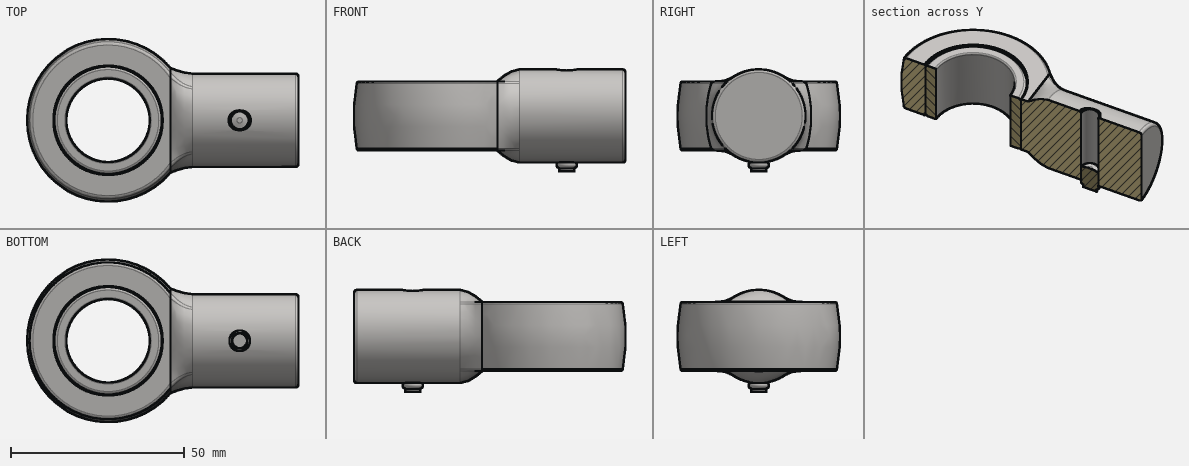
import cadquery as cq
import math

eye_half_height = 9.995
eye_radius = 23.48
eye_face_radius = 21.7
eye_rounding = 0.95
eye_rounding_sweep = math.radians(72)
eye_rim_radius = eye_face_radius + eye_rounding * math.sin(eye_rounding_sweep)
eye_rim_z = eye_half_height - eye_rounding * (1 - math.cos(eye_rounding_sweep))
eye_corner_radius = eye_face_radius + eye_rounding * math.sin(eye_rounding_sweep / 2)
eye_corner_z = eye_half_height - eye_rounding * (1 - math.cos(eye_rounding_sweep / 2))
seat_chamfer = 0.3

bush_radius = 31.0 / 2
bush_bore_radius = 24.0 / 2
bush_outer_rounding = 0.9
bush_bore_rounding = 0.5

shank_radius = 27.0 / 2
shank_end_x = 78.4 - eye_radius
shank_end_rounding = 0.95
neck_start_x = 17.95
neck_end_x = 24.4
neck_sections = 4
neck_blend_power = 1.7
neck_start_rise = 0.04

nipple_x = 37.95
cross_hole_radius = 5.5 / 2
cross_hole_chamfer = 0.5
nose_radius = 5.2 / 2
nose_tip_radius = 0.8
nose_base_z = -8.0
nose_height = 0.4
nose_bevel = cross_hole_radius - nose_radius
head_radius = 3.0
head_crest_z = -shank_radius - 0.7
head_lower_radius = 2.4
head_lower_z = -shank_radius - 1.5
waist_radius = 2.1
waist_z = -shank_radius - 1.65
nipple_bottom_z = -shank_radius - 2.5
tip_radius = 4.5 / 2
tip_height = 0.2


def half_chord(radius, distance):
    """Half the chord of a circle at a distance from its centre."""
    return math.sqrt(radius**2 - distance**2)


def make_eye_blank():
    """Solid crowned disc with rounded edges, ending at the plane where the neck starts."""
    disc = (
        cq.Workplane("XZ")
        .moveTo(0, eye_half_height)
        .lineTo(eye_face_radius, eye_half_height)
        .threePointArc((eye_corner_radius, eye_corner_z), (eye_rim_radius, eye_rim_z))
        .threePointArc((eye_radius, 0), (eye_rim_radius, -eye_rim_z))
        .threePointArc((eye_corner_radius, -eye_corner_z), (eye_face_radius, -eye_half_height))
        .lineTo(0, -eye_half_height)
        .close()
        .revolve(360, (0, 0, 0), (0, 1, 0))
    )
    kept_length = eye_radius + neck_start_x
    kept_side = cq.Workplane("XY").box(kept_length, 2 * eye_radius, 2 * eye_half_height)
    return disc.intersect(kept_side.translate((neck_start_x - kept_length / 2, 0, 0)))


def blend(start, end, t):
    """Value that runs from start (t = 0) to end (t = 1), flattening towards the end."""
    return end + (start - end) * (1 - t) ** neck_blend_power


def neck_outline(t):
    """Closed neck section: side arcs, short rounded corners, and arcs above and below."""
    side_y = blend(half_chord(eye_radius, neck_start_x), shank_radius, t)
    rim_y = blend(half_chord(eye_rim_radius, neck_start_x), half_chord(shank_radius, eye_rim_z), t)
    corner_y = blend(half_chord(eye_corner_radius, neck_start_x), half_chord(shank_radius, eye_corner_z), t)
    face_y = blend(half_chord(eye_face_radius, neck_start_x), half_chord(shank_radius, eye_half_height), t)
    crest_z = blend(eye_half_height + neck_start_rise, shank_radius, t)
    x = neck_start_x + t * (neck_end_x - neck_start_x)
    outline = (
        cq.Workplane("YZ", origin=(x, 0, 0))
        .moveTo(rim_y, -eye_rim_z)
        .threePointArc((side_y, 0), (rim_y, eye_rim_z))
        .threePointArc((corner_y, eye_corner_z), (face_y, eye_half_height))
        .threePointArc((0, crest_z), (-face_y, eye_half_height))
        .threePointArc((-corner_y, eye_corner_z), (-rim_y, eye_rim_z))
        .threePointArc((-side_y, 0), (-rim_y, -eye_rim_z))
        .threePointArc((-corner_y, -eye_corner_z), (-face_y, -eye_half_height))
        .threePointArc((0, -crest_z), (face_y, -eye_half_height))
        .threePointArc((corner_y, -eye_corner_z), (rim_y, -eye_rim_z))
        .close()
    )
    return outline.val()


def make_neck():
    """Blend from the slice of the eye to the round shank."""
    outlines = [neck_outline(i / (neck_sections - 1)) for i in range(neck_sections)]
    return cq.Workplane(cq.Solid.makeLoft(outlines))


def make_shank():
    """Round shank with a rounded free end."""
    return (
        cq.Workplane("YZ", origin=(neck_end_x, 0, 0))
        .circle(shank_radius)
        .extrude(shank_end_x - neck_end_x)
        .faces(">X")
        .edges()
        .fillet(shank_end_rounding)
    )


def make_seat():
    """Cutter for the bush seat, chamfered at both faces of the eye."""
    mouth_radius = bush_radius + seat_chamfer
    chamfer_z = eye_half_height - seat_chamfer
    return (
        cq.Workplane("XZ")
        .moveTo(0, -eye_half_height)
        .lineTo(mouth_radius, -eye_half_height)
        .lineTo(bush_radius, -chamfer_z)
        .lineTo(bush_radius, chamfer_z)
        .lineTo(mouth_radius, eye_half_height)
        .lineTo(0, eye_half_height)
        .close()
        .revolve(360, (0, 0, 0), (0, 1, 0))
    )


def make_cross_hole():
    """Cutter for the vertical hole through the shank, countersunk at the top."""
    mouth_radius = cross_hole_radius + cross_hole_chamfer
    return (
        cq.Workplane("XZ", origin=(nipple_x, 0, 0))
        .moveTo(0, -shank_radius)
        .lineTo(cross_hole_radius, -shank_radius)
        .lineTo(cross_hole_radius, shank_radius - cross_hole_chamfer)
        .lineTo(mouth_radius, shank_radius)
        .lineTo(0, shank_radius)
        .close()
        .revolve(360, (0, 0, 0), (0, 1, 0))
    )


def make_housing():
    """Rod-end body: eye, neck and shank, with the bush seat and the cross hole."""
    body = make_eye_blank().union(make_neck()).union(make_shank())
    return body.cut(make_seat()).cut(make_cross_hole())


def make_bush():
    """Plain sleeve filling the seat, with rounded rims inside and out."""
    sleeve = (
        cq.Workplane("XY", origin=(0, 0, -eye_half_height))
        .circle(bush_radius)
        .circle(bush_bore_radius)
        .extrude(2 * eye_half_height)
    )
    inner_rims = sleeve.faces("|Z").edges(cq.selectors.RadiusNthSelector(0))
    sleeve = inner_rims.fillet(bush_bore_rounding)
    outer_rims = sleeve.faces("|Z").edges(cq.selectors.RadiusNthSelector(-1))
    return outer_rims.fillet(bush_outer_rounding)


def make_nipple():
    """Grease nipple: coned nose and stem in the cross hole, bulged head and tip below the shank."""
    return (
        cq.Workplane("XZ", origin=(nipple_x, 0, 0))
        .moveTo(0, nose_base_z + nose_height)
        .lineTo(nose_tip_radius, nose_base_z + nose_height)
        .lineTo(nose_radius, nose_base_z)
        .lineTo(cross_hole_radius, nose_base_z - nose_bevel)
        .lineTo(cross_hole_radius, -shank_radius)
        .threePointArc((head_radius, head_crest_z), (head_lower_radius, head_lower_z))
        .lineTo(waist_radius, waist_z)
        .lineTo(tip_radius, nipple_bottom_z + tip_height)
        .lineTo(tip_radius, nipple_bottom_z)
        .lineTo(0, nipple_bottom_z)
        .close()
        .revolve(360, (0, 0, 0), (0, 1, 0))
    )


housing = make_housing()
bush = make_bush()
nipple = make_nipple()

result = cq.Compound.makeCompound([housing.val(), bush.val(), nipple.val()])